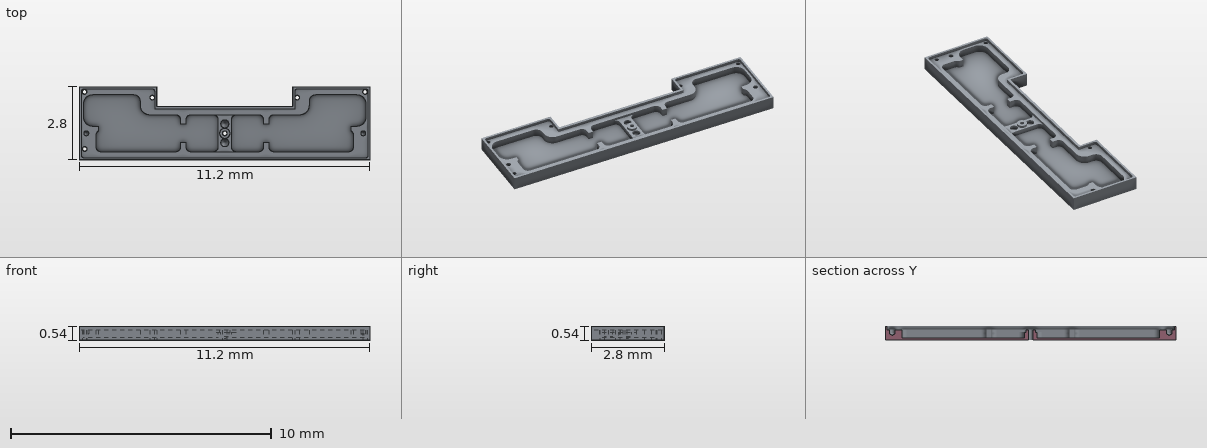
import cadquery as cq
import math

length = 11.15
width = 2.8
height = 0.54
notch_width = 5.21
notch_depth = 0.75

recess_depth = 0.13
pocket_depth = 0.30
bridge_drop = 0.10
ledge_z = height - recess_depth
floor_z = ledge_z - pocket_depth
bridge_z = ledge_z - bridge_drop

rim = 0.08
notch_rim = 0.10
recess_radius = 0.09

axis_y = 1.02
pocket_height = 1.42
pocket_end_x = 4.94
pocket_radius = 0.20
rib_x = 1.59
rib_width = 0.20
rib_gap = 0.70
lobe_inner_x = 3.24
lobe_outer_x = 5.42
lobe_front_y = 1.29
lobe_back_y = 2.50
lobe_radius = 0.36
lobe_corner_radius = 0.26
lobe_step_x = 4.84
step_shoulder_y = 1.14
bridge_width = 0.50

pin_diameter = 0.17
corner_pin = (5.38, 2.61)
notch_pin = (2.78, 2.39)
front_pin = (-5.37, 0.42)
end_drill_diameter = 0.19
end_drill_depth = 0.15
end_drill_x = 5.31
bridge_drill_diameter = 0.31
bridge_drill_depth = 0.15
bridge_drill_spacing = 0.36
drill_tip_angle = 118

boss_diameter = 0.39
boss_height = bridge_drop
boss_hole_diameter = 0.17


def box(x_min, x_max, y_min, y_max, z_min, z_max):
    """Axis-aligned block given by its limits."""
    block = cq.Workplane("XY").box(x_max - x_min, y_max - y_min, z_max - z_min, centered=False)
    return block.translate((x_min, y_min, z_min))


def cylinders(points, diameter, z_min, z_max):
    """Upright cylinders between two levels."""
    return (
        cq.Workplane("XY", origin=(0, 0, z_min))
        .pushPoints(points)
        .circle(diameter / 2)
        .extrude(z_max - z_min)
    )


def both_sides(body):
    """The body joined with its mirror image about the middle plane."""
    return body.union(body.mirror("YZ"))


def make_body():
    """Plate with a wide notch in its back edge."""
    plate = box(-length / 2, length / 2, 0, width, 0, height)
    notch = box(-notch_width / 2, notch_width / 2, width - notch_depth, width, 0, height)
    return plate.cut(notch)


def make_recess():
    """Shallow recess inside the rim, rounded everywhere but at the two notch corners."""
    notch_x = notch_width / 2 + rim
    notch_y = width - notch_depth - notch_rim
    outer_x = length / 2 - rim
    front = box(-outer_x, outer_x, rim, notch_y, ledge_z, height)
    front = front.edges("|Z and <Y").fillet(recess_radius)
    ear = box(notch_x, outer_x, notch_y, width - rim, ledge_z, height)
    ear = ear.edges("|Z and >Y").fillet(recess_radius)
    return front.union(both_sides(ear))


def make_chamber(x_min, x_max, y_min, y_max):
    """Pocket region with rounded corners."""
    return box(x_min, x_max, y_min, y_max, floor_z, ledge_z).edges("|Z").fillet(pocket_radius)


def make_lobe():
    """Deep end region reaching back into the ear beside the notch."""
    back_y = axis_y + pocket_height / 2
    return (
        cq.Workplane("XY", origin=(0, 0, floor_z))
        .moveTo(lobe_inner_x - lobe_radius, axis_y)
        .lineTo(lobe_inner_x - lobe_radius, back_y)
        .radiusArc((lobe_inner_x, back_y + lobe_radius), -lobe_radius)
        .lineTo(lobe_inner_x, lobe_back_y - lobe_corner_radius)
        .radiusArc((lobe_inner_x + lobe_corner_radius, lobe_back_y), lobe_corner_radius)
        .lineTo(lobe_outer_x - lobe_radius, lobe_back_y)
        .radiusArc((lobe_outer_x, lobe_back_y - lobe_radius), lobe_radius)
        .lineTo(lobe_outer_x, lobe_front_y + lobe_radius)
        .radiusArc((lobe_outer_x - lobe_radius, lobe_front_y), lobe_radius)
        .lineTo(lobe_step_x, lobe_front_y)
        .lineTo(lobe_step_x, axis_y)
        .close()
        .extrude(pocket_depth)
    )


def make_pocket():
    """Main pocket: chambers split by the bridge and by pairs of ribs."""
    front_y = axis_y - pocket_height / 2
    back_y = axis_y + pocket_height / 2
    rib_inner_x = rib_x - rib_width / 2
    rib_outer_x = rib_x + rib_width / 2
    inner = make_chamber(bridge_width / 2, rib_inner_x, front_y, back_y)
    outer_end = make_chamber(rib_outer_x, pocket_end_x, front_y, step_shoulder_y)
    outer_rib_side = make_chamber(rib_outer_x, lobe_inner_x, front_y, back_y)
    lobe_joint = box(
        lobe_inner_x - 2 * pocket_radius, lobe_inner_x, axis_y, back_y, floor_z, ledge_z
    )
    gap = box(
        rib_inner_x - pocket_radius,
        rib_outer_x + pocket_radius,
        axis_y - rib_gap / 2,
        axis_y + rib_gap / 2,
        floor_z,
        ledge_z,
    )
    half = inner.union(gap).union(outer_rib_side).union(outer_end)
    half = half.union(lobe_joint).union(make_lobe())
    bridge_cut = box(
        -bridge_width / 2 - pocket_radius,
        bridge_width / 2 + pocket_radius,
        front_y,
        back_y,
        bridge_z,
        ledge_z,
    )
    return both_sides(half).union(bridge_cut)


def make_boss():
    """Round boss standing on the bridge."""
    return cylinders([(0, axis_y)], boss_diameter, bridge_z, bridge_z + boss_height)


def make_drilling(x, y, diameter, top_z, depth):
    """Blind drilled hole with a conical bottom."""
    radius = diameter / 2
    tip_height = radius / math.tan(math.radians(drill_tip_angle / 2))
    return (
        cq.Workplane("XZ")
        .moveTo(0, top_z)
        .lineTo(radius, top_z)
        .lineTo(radius, top_z - depth)
        .lineTo(0, top_z - depth - tip_height)
        .close()
        .revolve(360, (0, 0, 0), (0, 1, 0))
        .translate((x, y, 0))
    )


def make_pin_holes():
    """Through holes: mirrored pairs in the ears, and a single one at the front left."""
    paired = both_sides(cylinders([corner_pin, notch_pin], pin_diameter, 0, height))
    return paired.union(cylinders([front_pin], pin_diameter, 0, height))


result = make_body().cut(make_recess()).cut(make_pocket())
for side in (-1, 1):
    bridge_drill_y = axis_y + side * bridge_drill_spacing
    result = result.cut(
        make_drilling(0, bridge_drill_y, bridge_drill_diameter, bridge_z, bridge_drill_depth)
    )
    result = result.cut(
        make_drilling(side * end_drill_x, axis_y, end_drill_diameter, ledge_z, end_drill_depth)
    )
result = result.union(make_boss())
result = result.cut(make_pin_holes())
result = result.cut(cylinders([(0, axis_y)], boss_hole_diameter, 0, height))